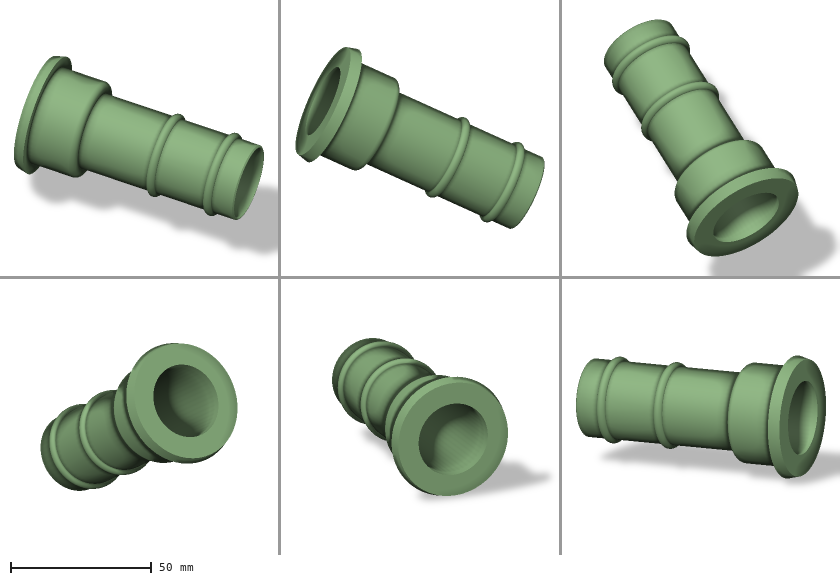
import cadquery as cq

length = 82.0
bore_diameter = 26.5

flange_diameter = 44.0
flange_face_diameter = 42.0
flange_thickness = 4.0

collar_diameter = 36.0
collar_end = 22.0
collar_fillet = 2.0

tube_diameter = 28.05
tube_end_chamfer = 0.5
bead_section_radius = 1.6
bead_outer_diameter = 31.0
bead_positions = (50.0, 72.0)


def cylinder(diameter, start, end):
    """Solid cylinder along X between two stations."""
    return cq.Workplane("YZ", origin=(start, 0, 0)).circle(diameter / 2).extrude(end - start)


def tapered_flange():
    """Conical disc that widens away from the open face."""
    profile = [
        (0, 0),
        (0, flange_face_diameter / 2),
        (flange_thickness, flange_diameter / 2),
        (flange_thickness, 0),
    ]
    return cq.Workplane("XY").polyline(profile).close().revolve(360, (0, 0, 0), (1, 0, 0))


def bead(position):
    """Torus half sunk into the tube wall."""
    ring_radius = bead_outer_diameter / 2 - bead_section_radius
    section = cq.Workplane("XY").center(position, ring_radius).circle(bead_section_radius)
    return section.revolve(360, (0, -ring_radius, 0), (1, -ring_radius, 0))


collar = cylinder(collar_diameter, 0, collar_end).faces(">X").edges().fillet(collar_fillet)
tube = cylinder(tube_diameter, 0, length).faces(">X").edges().chamfer(tube_end_chamfer)

body = tapered_flange().union(collar).union(tube)

for bead_position in bead_positions:
    body = body.union(bead(bead_position))

result = body.cut(cylinder(bore_diameter, 0, length))